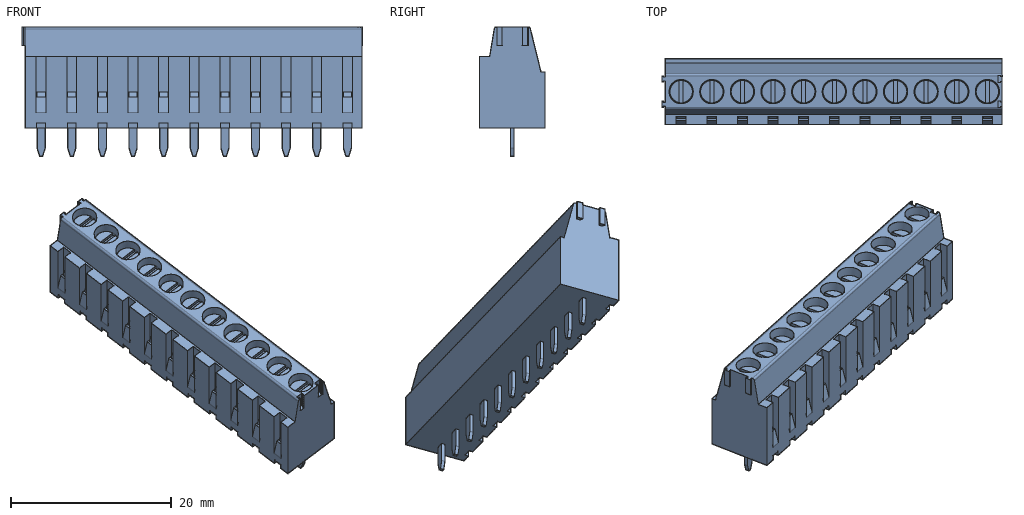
import cadquery as cq

overall_length = 42.4
poles = 11
housing_depth = 8.2
housing_height = 12.6
pole_offset = 0.1

front_ledge_height = 8.9
front_ledge_width = 1.27
rear_ledge_height = 7.0
rear_ledge_width = 0.5
crown_width = 4.4
crown_radius = 0.3

well_top_diameter = 3.0
screw_diameter = 2.8
well_depth = 1.2
driver_slot_width = 0.5
driver_slot_depth = 0.42

slot_width = 1.25
slot_depth = 1.0
slot_bottom = 1.95
step_height = 3.85
step_width = 0.5
wedge_width = 1.0
wedge_height = 0.65
wedge_thickness = 0.25

notch_width = 1.1
notch_height = 0.65
notch_depth = 0.5

pin_width = 1.0
pin_thickness = 0.45
pin_length = 3.5
pin_tip_length = 1.0
pin_tip_width = 0.4

key_spacing = 3.15
key_height = 2.35
key_reach = 0.42
key_head_thickness = 0.2
key_head_width = 0.75
key_stem_width = 0.5
groove_clearance = 0.1
lip_width = 0.1
lip_reach = 0.1

housing_length = overall_length - key_reach - lip_reach
pitch = housing_length / poles
front_y = -housing_depth / 2
rear_y = housing_depth / 2
left_x = -housing_length / 2
right_x = housing_length / 2
key_bottom = housing_height - key_height
key_positions = (-key_spacing / 2, key_spacing / 2)
pole_positions = [pole_offset + (i - (poles - 1) / 2) * pitch for i in range(poles)]


def box(x_range, y_range, z_range):
    """Axis-aligned block given by its limits along X, Y and Z."""
    size = [high - low for low, high in (x_range, y_range, z_range)]
    corner = (x_range[0], y_range[0], z_range[0])
    return cq.Workplane("XY").box(*size, centered=False).translate(corner)


def span(center, width):
    """Limits of a range of the given width about a centre."""
    return (center - width / 2, center + width / 2)


def along_x(points, center_x, width):
    """Prism with a (Y, Z) outline, extruded along X about center_x."""
    return cq.Workplane("YZ", origin=(center_x, 0, 0)).polyline(points).close().extrude(width / 2, both=True)


def housing():
    outline = [
        (front_y, 0),
        (rear_y, 0),
        (rear_y, rear_ledge_height),
        (rear_y - rear_ledge_width, rear_ledge_height),
        (crown_width / 2, housing_height),
        (-crown_width / 2, housing_height),
        (front_y + front_ledge_width, front_ledge_height),
        (front_y, front_ledge_height),
    ]
    return along_x(outline, 0, housing_length).faces(">Z").edges("|X").fillet(crown_radius)


def screw_well(x):
    """Tapered well down to the screw head, with the driver slot below its floor."""
    well = (
        cq.Workplane("XY", origin=(x, 0, housing_height))
        .circle(well_top_diameter / 2)
        .workplane(offset=-well_depth)
        .circle(screw_diameter / 2)
        .loft()
    )
    floor = housing_height - well_depth
    driver_slot = box(
        span(x, driver_slot_width),
        span(0, screw_diameter),
        (floor - driver_slot_depth, floor),
    )
    screw_head = (
        cq.Workplane("XY", origin=(x, 0, floor)).circle(screw_diameter / 2).extrude(-driver_slot_depth)
    )
    return well.union(driver_slot.intersect(screw_head))


def wire_slot(x):
    """Open-topped slot with a step and a ramp running out to the front face."""
    back_y = front_y + slot_depth
    outline = [
        (front_y, slot_bottom),
        (front_y + step_width, step_height),
        (back_y, step_height),
        (back_y, front_ledge_height),
        (front_y, front_ledge_height),
    ]
    return along_x(outline, x, slot_width)


def contact_wedge(x):
    """Small sloped contact standing on the step against the back of the slot."""
    back_y = front_y + slot_depth
    outline = [
        (back_y, step_height),
        (back_y - wedge_thickness, step_height),
        (back_y, step_height + wedge_height),
    ]
    return along_x(outline, x, wedge_width)


def edge_notch(x):
    return box(span(x, notch_width), (front_y, front_y + notch_depth), (0, notch_height))


def pin(x):
    """Flat solder pin with a tapered tip."""
    taper_start = pin_tip_length - pin_length
    outline = [
        (-pin_width / 2, 0),
        (-pin_width / 2, taper_start),
        (-pin_tip_width / 2, -pin_length),
        (pin_tip_width / 2, -pin_length),
        (pin_width / 2, taper_start),
        (pin_width / 2, 0),
    ]
    blank = cq.Workplane("XZ", origin=(x, 0, 0)).polyline(outline).close()
    return blank.extrude(pin_thickness / 2, both=True)


def tee(x, y, clearance):
    """T-section bar: its stem starts at x and its head lies at the -X end."""
    z_range = (key_bottom, housing_height)
    head_x = x - key_reach
    stem = box((head_x, x), span(y, key_stem_width + clearance), z_range)
    head = box(
        (head_x - clearance, head_x + key_head_thickness),
        span(y, key_head_width + clearance),
        z_range,
    )
    return stem.union(head)


def groove_lip():
    """Thin lip on the +X end, along the outer edge of the rear groove."""
    inner_y = (key_spacing + key_head_width + groove_clearance) / 2 - lip_width
    return box((right_x, right_x + lip_reach), (inner_y, inner_y + lip_width), (key_bottom, housing_height))


result = housing()

for x in pole_positions:
    result = result.cut(screw_well(x)).cut(wire_slot(x)).cut(edge_notch(x))
    result = result.union(contact_wedge(x)).union(pin(x))

for y in key_positions:
    result = result.union(tee(left_x, y, 0))
    result = result.cut(tee(right_x, y, groove_clearance))

result = result.union(groove_lip())